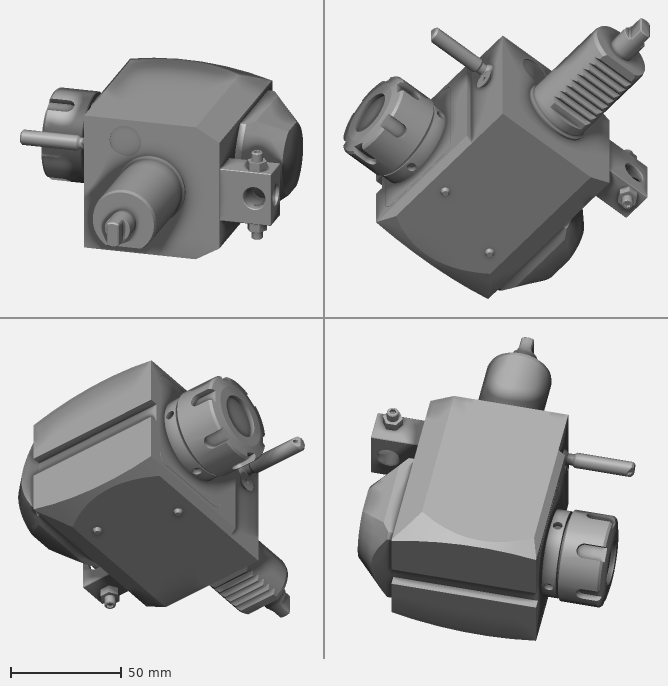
import cadquery as cq
import math


BODY_HALF = 32.0
BODY_LENGTH = 84.0
SIDE_CHAMFER_WIDTH = 11.1
SIDE_CHAMFER_ANGLE = 30
FLANGE_START = 21.2
FLANGE_THICKNESS = 3.0
CROWN_RADIUS = 146
CROWN_HEIGHT = 31.1
CROWN_X = -8.8
CROWN_DRAFT = 15
KEYWAY_WIDTH = 10.2
KEYWAY_DEPTH = 4.1
PLUG_X = -12.4
PLUG_Z = 21.6
PLUG_RADIUS = 7.5
PLUG_RECESS = 0.6
STUD_RADIUS = 2.2
STUD_TIP_RADIUS = 1.3
STUD_HEIGHT = 1.6
STUD_OFFSET_Y = 6.0
STUD_LEFT_X = -23.8
STUD_RIGHT_X = 13.1

SPINDLE_Y = 55.0
SEAL_WIDTH = 45.1
SEAL_HEIGHT = 53.3
SEAL_CORNER_RADIUS = 5.4
SEAL_GROOVE = 0.3
NUT_FACE_X = -63.8
NUT_RIM_X = -62.6
NUT_SIDE_START_X = -61.5
NUT_END_X = -43.4
NUT_RADIUS = 21.0
NUT_RIM_RADIUS = 20.1
NUT_FACE_RADIUS = 14.9
NUT_EDGE_CHAMFER = 0.5
COLLET_RADIUS = 10.4
COLLET_DEPTH = 2.2
NECK_RADIUS = 16.5
RING_START_X = -42.0
RING_END_X = -35.8
RING_RADIUS = 20.0
RING_HOLE_RADIUS = 2.2
RING_HOLE_DEPTH = 2.9
RING_HOLE_COUNT = 4
SLOT_WIDTH = 6.7
SLOT_END_X = -51.7
SLOT_ANGLES = (0, 60, 120, 180)
LONG_SLOT_END_X = -50.0
LONG_SLOT_ANGLES = (240, 300)
SLOT_FLOOR_RADIUS = 17.8

SHANK_RADIUS = 15.0
SHANK_LENGTH = 45.0
SHANK_CHAMFER_LENGTH = 1.9
SHANK_CHAMFER_DEPTH = 0.6
COLLAR_RADIUS = 15.9
COLLAR_LENGTH = 1.0
RELIEF_RADIUS = 14.7
RELIEF_START = 1.6
RELIEF_END = 2.3
FLAT_DEPTH = 11.8
FLAT_START = 6.7
TOOTH_DEPTH = 1.8
TOOTH_GAP = 3.4
TOOTH_COUNT = 8
FIRST_GAP_Y = -11.4
LAST_GAP_Y = -39.4
TOOTH_PITCH = (FIRST_GAP_Y - LAST_GAP_Y) / (TOOTH_COUNT - 1)
TANG_SHAFT_RADIUS = 6.0
TANG_SHOULDER = 54.6
TANG_END = 62.0
TANG_WIDTH = 5.8
TANG_CHAMFER = 0.6
TANG_FLARE = 0.7
SHOULDER_CHAMFER = 0.3

CAP_RADIUS = 32.0
CAP_RIM = 2.9
CAP_LENGTH = 18.2
CAP_HALF_HEIGHT = 23.0
CAP_TOP = 24.5
CAP_BEVEL_START = 6.1
CAP_BEVEL_DROP = 7.6

PIN_Y = 11.0
PIN_Z = 14.0
PIN_RADIUS = 3.5
PIN_TIP_X = -64.8
PIN_END_X = -38
PIN_CHAMFER = 0.9
PIN_NECK_TAPER = 1.2
PIN_BEVEL_FROM_AXIS = 0.7
PIN_NECK_RADIUS = 2.6
PIN_BORE_RADIUS = 1.0
PIN_BORE_DEPTH = 2.9
BALL_RADIUS = 4.4
BALL_X = -30.7
NOZZLE_Z = 7.0
NOZZLE_RADIUS = 4.7
NOZZLE_ROOT_RADIUS = 2.9
NOZZLE_HEIGHT = 1.9
NOZZLE_BORE_RADIUS = 1.2

BRACKET_END_X = 56.0
BRACKET_BACK_Y = 16
BRACKET_FRONT_Y = 1.2
BRACKET_HALF_HEIGHT = 12.5
BRACKET_CHAMFER = 0.3
SCREW_X = 48.0
SCREW_Y = 6.0
SCREW_RADIUS = 2.6
SCREW_TOP = 20.9
SCREW_SOCKET_WIDTH = 3.2
SCREW_SOCKET_DEPTH = 1.5
SCREW_CHAMFER = 0.5
SCREW_POINT_RADIUS = 1.3
SCREW_POINT_RECESS = 0.3
SCREW_NUT_WIDTH = 9.2
SCREW_NUT_HEIGHT = 4.1
BRACKET_HOLE_RADIUS = 5.1
BRACKET_HOLE_CHAMFER = 0.5

HEX_SIDES = 6

OVERLAP = 1.5
SPINDLE_AXIS = ((0, SPINDLE_Y, 0), (1, SPINDLE_Y, 0))


def box(x_range, y_range, z_range):
    """Axis-aligned box between the given limits."""
    lows, highs = zip(x_range, y_range, z_range)
    sizes = [high - low for low, high in zip(lows, highs)]
    return cq.Workplane("XY").box(*sizes, centered=False).translate(lows)


def x_turned(points, y, z=0):
    """Solid of revolution about an axis parallel to X, from (x, radius) points."""
    profile = cq.Workplane("XY").polyline(points).close()
    return profile.revolve(360, (0, 0), (1, 0)).translate((0, y, z))


def y_turned(points):
    """Solid of revolution about the Y axis, from (radius, y) points."""
    return cq.Workplane("XY").polyline(points).close().revolve(360, (0, 0), (0, 1))


def make_body():
    side_drop = SIDE_CHAMFER_WIDTH * math.tan(math.radians(SIDE_CHAMFER_ANGLE))
    half_outline = [
        (-BODY_HALF, BODY_HALF),
        (BODY_HALF - SIDE_CHAMFER_WIDTH, BODY_HALF),
        (BODY_HALF, BODY_HALF - side_drop),
    ]
    outline = half_outline + [(x, -z) for x, z in reversed(half_outline)]
    body = cq.Workplane("XZ").polyline(outline).close().extrude(-BODY_LENGTH)

    flange_x = -BODY_HALF - FLANGE_THICKNESS
    flange_edge = BODY_HALF - FLANGE_THICKNESS
    flange = (
        cq.Workplane("XZ", origin=(0, FLANGE_START, 0))
        .polyline([
            (-BODY_HALF, BODY_HALF),
            (flange_x, flange_edge),
            (flange_x, -flange_edge),
            (-BODY_HALF, -BODY_HALF),
        ])
        .close()
        .extrude(FLANGE_START - BODY_LENGTH)
    )
    body = body.union(flange)

    front_radius = CROWN_RADIUS + BODY_LENGTH * math.tan(math.radians(CROWN_DRAFT))
    crown = y_turned([
        (0, 0), (front_radius, 0), (CROWN_RADIUS, BODY_LENGTH), (0, BODY_LENGTH),
    ])
    crown_z = CROWN_HEIGHT - CROWN_RADIUS
    for side in (1, -1):
        body = body.intersect(crown.translate((CROWN_X, 0, side * crown_z)))

    keyway = box(
        (flange_x, BODY_HALF),
        (BODY_LENGTH - KEYWAY_DEPTH, BODY_LENGTH),
        (-KEYWAY_WIDTH / 2, KEYWAY_WIDTH / 2),
    )
    plug_recess = (
        cq.Workplane("XZ").center(PLUG_X, PLUG_Z).circle(PLUG_RADIUS).extrude(-PLUG_RECESS)
    )
    return body.cut(keyway).cut(plug_recess).cut(make_seal_groove(flange_x))


def make_seal_groove(face_x):
    """Hairline rectangular groove around the spindle on the flange face."""
    def rounded_block(inset):
        return (
            cq.Workplane("YZ", origin=(face_x, SPINDLE_Y, 0))
            .rect(SEAL_WIDTH - 2 * inset, SEAL_HEIGHT - 2 * inset)
            .extrude(SEAL_GROOVE)
            .edges("|X")
            .fillet(SEAL_CORNER_RADIUS - inset)
        )
    return rounded_block(0).cut(rounded_block(SEAL_GROOVE))


def make_studs():
    """Two small tapered studs under the body, diagonal about the spindle."""
    stud = (
        cq.Workplane("XZ")
        .polyline([
            (0, OVERLAP),
            (STUD_RADIUS, OVERLAP),
            (STUD_RADIUS, 0),
            (STUD_TIP_RADIUS, -STUD_HEIGHT),
            (0, -STUD_HEIGHT),
        ])
        .close()
        .revolve(360, (0, 0), (0, 1))
    )
    left = stud.translate((STUD_LEFT_X, SPINDLE_Y - STUD_OFFSET_Y, -BODY_HALF))
    right = stud.translate((STUD_RIGHT_X, SPINDLE_Y + STUD_OFFSET_Y, -BODY_HALF))
    return left.union(right)


def make_spindle():
    spindle = x_turned(
        [
            (NUT_FACE_X, 0),
            (NUT_FACE_X, NUT_FACE_RADIUS),
            (NUT_RIM_X, NUT_RIM_RADIUS),
            (NUT_SIDE_START_X, NUT_RADIUS),
            (NUT_END_X - NUT_EDGE_CHAMFER, NUT_RADIUS),
            (NUT_END_X, NUT_RADIUS - NUT_EDGE_CHAMFER),
            (NUT_END_X, NECK_RADIUS),
            (RING_START_X, NECK_RADIUS),
            (RING_START_X, RING_RADIUS),
            (RING_END_X, RING_RADIUS),
            (RING_END_X, NECK_RADIUS),
            (-BODY_HALF, NECK_RADIUS),
            (-BODY_HALF, 0),
        ],
        SPINDLE_Y,
    )
    collet_recess = (
        cq.Workplane("YZ", origin=(NUT_FACE_X, SPINDLE_Y, 0))
        .circle(COLLET_RADIUS)
        .extrude(COLLET_DEPTH)
    )
    spindle = spindle.cut(collet_recess)

    for end_x, angles in ((SLOT_END_X, SLOT_ANGLES), (LONG_SLOT_END_X, LONG_SLOT_ANGLES)):
        slot = make_nut_slot(end_x)
        for angle in angles:
            spindle = spindle.cut(slot.rotate(*SPINDLE_AXIS, angle))

    ring_hole = (
        cq.Workplane("XZ", origin=((RING_START_X + RING_END_X) / 2, SPINDLE_Y - RING_RADIUS, 0))
        .circle(RING_HOLE_RADIUS)
        .extrude(-RING_HOLE_DEPTH)
    )
    for index in range(RING_HOLE_COUNT):
        spindle = spindle.cut(ring_hole.rotate(*SPINDLE_AXIS, index * 360 / RING_HOLE_COUNT))
    return spindle


def make_nut_slot(end_x):
    """Cutter for an open-ended spanner slot with a round inner end, on the -Y side of the nut."""
    depth = NUT_RADIUS - SLOT_FLOOR_RADIUS + OVERLAP
    center_x = end_x - SLOT_WIDTH / 2
    length = center_x - NUT_FACE_X + OVERLAP
    plane = cq.Workplane("XZ", origin=(center_x, SPINDLE_Y - SLOT_FLOOR_RADIUS, 0))
    round_end = plane.circle(SLOT_WIDTH / 2).extrude(depth)
    straight = plane.center(-length / 2, 0).rect(length, SLOT_WIDTH).extrude(depth)
    return round_end.union(straight)


def make_shank():
    shank = y_turned([
        (0, OVERLAP),
        (COLLAR_RADIUS, OVERLAP),
        (COLLAR_RADIUS, -COLLAR_LENGTH),
        (RELIEF_RADIUS, -RELIEF_START),
        (RELIEF_RADIUS, -RELIEF_END),
        (SHANK_RADIUS, -RELIEF_END),
        (SHANK_RADIUS, SHANK_CHAMFER_LENGTH - SHANK_LENGTH),
        (SHANK_RADIUS - SHANK_CHAMFER_DEPTH, -SHANK_LENGTH),
        (0, -SHANK_LENGTH),
    ])
    flat = box(
        (-SHANK_RADIUS, SHANK_RADIUS),
        (-SHANK_LENGTH, -FLAT_START),
        (-SHANK_RADIUS, -FLAT_DEPTH),
    )
    shank = shank.cut(flat)

    tooth_gap = (
        cq.Workplane("YZ")
        .polyline([(-TOOTH_GAP / 2, 0), (0, TOOTH_DEPTH), (TOOTH_GAP / 2, 0)])
        .close()
        .extrude(SHANK_RADIUS, both=True)
    )
    for index in range(TOOTH_COUNT):
        gap_y = FIRST_GAP_Y - index * TOOTH_PITCH
        shank = shank.cut(tooth_gap.translate((0, gap_y, -FLAT_DEPTH)))
    return shank.union(make_drive_tang())


def make_drive_tang():
    """Round shaft ending in a flat tang, chamfered at the tip and flared at the root."""
    def chamfered_rod(start, end, chamfer):
        return y_turned([
            (0, -start),
            (TANG_SHAFT_RADIUS, -start),
            (TANG_SHAFT_RADIUS, chamfer - end),
            (TANG_SHAFT_RADIUS - chamfer, -end),
            (0, -end),
        ])
    shaft = chamfered_rod(SHANK_LENGTH - OVERLAP, TANG_SHOULDER, SHOULDER_CHAMFER)
    half_width = TANG_WIDTH / 2
    half_outline = [
        (half_width + TANG_FLARE, OVERLAP - TANG_SHOULDER),
        (half_width + TANG_FLARE, -TANG_SHOULDER),
        (half_width, -TANG_SHOULDER - TANG_FLARE),
        (half_width, TANG_CHAMFER - TANG_END),
        (half_width - TANG_CHAMFER, -TANG_END),
    ]
    tang_slab = (
        cq.Workplane("XY")
        .polyline(half_outline + [(-x, y) for x, y in reversed(half_outline)])
        .close()
        .extrude(TANG_SHAFT_RADIUS, both=True)
    )
    tang = chamfered_rod(TANG_SHOULDER - OVERLAP, TANG_END, TANG_CHAMFER).intersect(tang_slab)
    tang = tang.edges("|Y").chamfer(TANG_CHAMFER)
    return shaft.union(tang)


def make_cap():
    """Bearing cap: a 45-degree cone on a short rim, cropped flat and bevelled."""
    end_x = BODY_HALF + CAP_LENGTH
    end_radius = CAP_RADIUS - (CAP_LENGTH - CAP_RIM)
    cone = x_turned(
        [
            (BODY_HALF - OVERLAP, 0),
            (BODY_HALF - OVERLAP, CAP_RADIUS),
            (BODY_HALF + CAP_RIM, CAP_RADIUS),
            (end_x, end_radius),
            (end_x, 0),
        ],
        SPINDLE_Y,
    )
    half_crop = [
        (BODY_HALF - OVERLAP, CAP_HALF_HEIGHT),
        (BODY_HALF + CAP_BEVEL_START, CAP_HALF_HEIGHT),
        (end_x, CAP_HALF_HEIGHT - CAP_BEVEL_DROP),
    ]
    crop = (
        cq.Workplane("XZ", origin=(0, SPINDLE_Y + CAP_TOP, 0))
        .polyline(half_crop + [(x, -z) for x, z in reversed(half_crop)])
        .close()
        .extrude(CAP_TOP + CAP_RADIUS)
    )
    return cone.intersect(crop)


def make_coolant_pin():
    pin = x_turned(
        [
            (PIN_TIP_X, 0),
            (PIN_TIP_X, PIN_RADIUS - PIN_CHAMFER),
            (PIN_TIP_X + PIN_CHAMFER, PIN_RADIUS),
            (PIN_END_X, PIN_RADIUS),
            (PIN_END_X + PIN_NECK_TAPER, PIN_NECK_RADIUS),
            (BALL_X, PIN_NECK_RADIUS),
            (BALL_X, 0),
        ],
        PIN_Y,
        PIN_Z,
    )
    bevel_size = PIN_RADIUS - PIN_BEVEL_FROM_AXIS
    bevel = (
        cq.Workplane("XY", origin=(PIN_TIP_X, PIN_Y + PIN_BEVEL_FROM_AXIS, PIN_Z))
        .polyline([(0, 0), (bevel_size, bevel_size), (0, bevel_size)])
        .close()
        .extrude(PIN_RADIUS, both=True)
    )
    bore = (
        cq.Workplane("YZ", origin=(PIN_TIP_X, PIN_Y + PIN_BEVEL_FROM_AXIS + bevel_size / 2, PIN_Z))
        .circle(PIN_BORE_RADIUS)
        .extrude(PIN_BORE_DEPTH)
    )
    ball = cq.Workplane("XY").sphere(BALL_RADIUS).translate((BALL_X, PIN_Y, PIN_Z))
    return pin.cut(bevel).cut(bore).union(ball)


def make_nozzle():
    """Flared nozzle beside the pin, with a shallow outlet bore."""
    face_x = -BODY_HALF - NOZZLE_HEIGHT
    nozzle = x_turned(
        [
            (face_x, 0),
            (face_x, NOZZLE_RADIUS),
            (-BODY_HALF, NOZZLE_ROOT_RADIUS),
            (OVERLAP - BODY_HALF, NOZZLE_ROOT_RADIUS),
            (OVERLAP - BODY_HALF, 0),
        ],
        PIN_Y,
        NOZZLE_Z,
    )
    bore = (
        cq.Workplane("YZ", origin=(face_x, PIN_Y, NOZZLE_Z))
        .circle(NOZZLE_BORE_RADIUS)
        .extrude(NOZZLE_HEIGHT)
    )
    return nozzle.cut(bore)


def make_bracket():
    bracket = box(
        (BODY_HALF, BRACKET_END_X),
        (BRACKET_FRONT_Y, BRACKET_BACK_Y),
        (-BRACKET_HALF_HEIGHT, BRACKET_HALF_HEIGHT),
    )
    bracket = bracket.edges("|X or >X").chamfer(BRACKET_CHAMFER)

    screw_plane = cq.Workplane("XY", origin=(SCREW_X, SCREW_Y, 0))
    screw_base = screw_plane.workplane(offset=BRACKET_HALF_HEIGHT - OVERLAP)
    nut = screw_base.polygon(HEX_SIDES, SCREW_NUT_WIDTH).extrude(OVERLAP + SCREW_NUT_HEIGHT)
    shaft = screw_base.circle(SCREW_RADIUS).extrude(OVERLAP + SCREW_TOP - BRACKET_HALF_HEIGHT)
    shaft = shaft.faces(">Z").edges().chamfer(SCREW_CHAMFER)
    socket = (
        screw_plane.workplane(offset=SCREW_TOP - SCREW_SOCKET_DEPTH)
        .polygon(HEX_SIDES, SCREW_SOCKET_WIDTH)
        .extrude(SCREW_SOCKET_DEPTH)
    )
    screw = nut.union(shaft).cut(socket)

    hole_plane = cq.Workplane("XZ", origin=(SCREW_X, BRACKET_BACK_Y, 0))
    hole = hole_plane.circle(BRACKET_HOLE_RADIUS).extrude(BRACKET_BACK_Y - BRACKET_FRONT_Y)
    cross_hole = (
        cq.Workplane("YZ", origin=(SCREW_X, (BRACKET_FRONT_Y + BRACKET_BACK_Y) / 2, 0))
        .circle(BRACKET_HOLE_RADIUS)
        .extrude(BRACKET_END_X - SCREW_X)
    )
    point_depth = BRACKET_HOLE_RADIUS + SCREW_POINT_RECESS
    points = screw_plane.circle(SCREW_POINT_RADIUS).extrude(point_depth, both=True)
    bracket = bracket.cut(hole)
    bracket = bracket.edges("%CIRCLE").chamfer(BRACKET_HOLE_CHAMFER).cut(cross_hole).cut(points)
    return bracket.union(screw).union(screw.mirror("XY"))


result = (
    make_body()
    .union(make_studs())
    .union(make_shank())
    .union(make_spindle())
    .union(make_cap())
    .union(make_coolant_pin())
    .union(make_nozzle())
    .union(make_bracket())
)